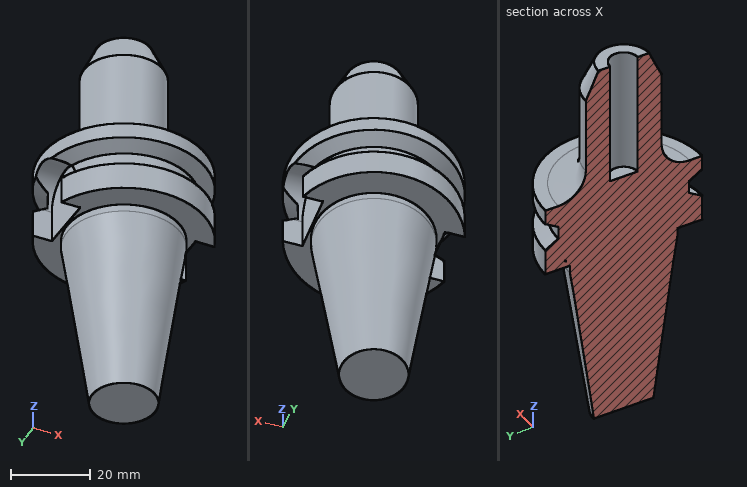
import cadquery as cq

total_height = 108.4
gauge_height = 48.3
flange_bottom = 50.4
groove_bottom = 60.3
groove_top = 63.8
flange_top = 70.5
groove_flare_height = 2.3
tip_height = 8.0

flange_radius = 23.0
groove_radius = 19.2
neck_radius = 11.2
tip_radius = 7.5
gauge_radius = 15.8
taper_rate = 7 / 24
taper_end_radius = gauge_radius - gauge_height * taper_rate / 2
neck_fillet = 8.0

bore_diameter = 8.0
bore_depth = 35.8

slot_width = 16.0
slot_top = 67.4
slot_floor_offset = 16.3


def turned_body():
    """Taper shank, grooved flange and nose, revolved about Z."""
    profile = (
        cq.Workplane("XZ")
        .lineTo(taper_end_radius, 0)
        .lineTo(gauge_radius, gauge_height)
        .lineTo(gauge_radius, flange_bottom)
        .lineTo(flange_radius, flange_bottom)
        .lineTo(flange_radius, groove_bottom - groove_flare_height)
        .lineTo(groove_radius, groove_bottom)
        .lineTo(groove_radius, groove_top)
        .lineTo(flange_radius, groove_top + groove_flare_height)
        .lineTo(flange_radius, flange_top)
        .lineTo(neck_radius + neck_fillet, flange_top)
        .radiusArc((neck_radius, flange_top + neck_fillet), neck_fillet)
        .lineTo(neck_radius, total_height - tip_height)
        .lineTo(tip_radius, total_height)
        .lineTo(0, total_height)
        .close()
    )
    return profile.revolve(360, (0, 0, 0), (0, 1, 0))


def drive_slot(side):
    """Round-topped cutter, open at the flange bottom; side is -1 or +1 along X."""
    half_width = slot_width / 2
    arc_start = slot_top - half_width
    return (
        cq.Workplane("YZ", origin=(side * slot_floor_offset, 0, 0))
        .moveTo(-half_width, flange_bottom)
        .lineTo(-half_width, arc_start)
        .threePointArc((0, slot_top), (half_width, arc_start))
        .lineTo(half_width, flange_bottom)
        .close()
        .extrude(side * flange_radius)
    )


def tool_bore():
    """Blind bore running down from the nose."""
    return (
        cq.Workplane("XY", origin=(0, 0, total_height))
        .circle(bore_diameter / 2)
        .extrude(-bore_depth)
    )


result = turned_body().cut(tool_bore())
for slot_side in (-1, 1):
    result = result.cut(drive_slot(slot_side))